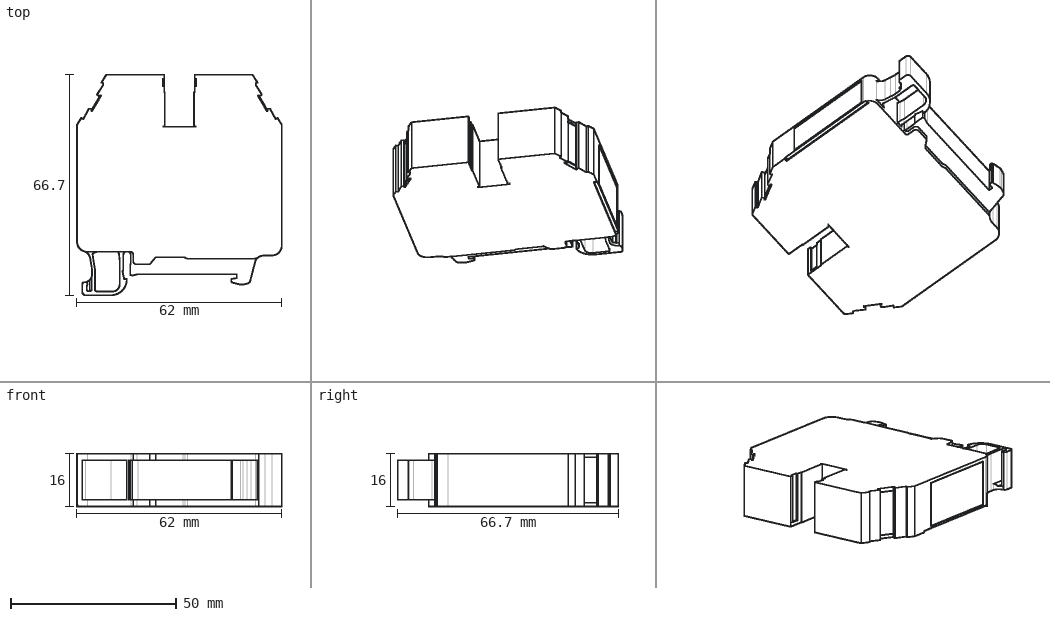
import cadquery as cq
import math

THICKNESS = 16.0
HALF_WIDTH = 31.0
TOP_Y = 53.56
BOTTOM_Y = -13.15
CORNER_RADIUS = 3.1

TONGUE_Y = -3.8
TONGUE_LEFT_X = -14.03
CLEARANCE_Y = -1.55
SEAT_Y = -2.0
RIGHT_UNDERSIDE_Y = -1.13
BLEND_POINT = (24.05, -1.5)

FOOT_INSET = 2.0
FOOT_THICKNESS = THICKNESS - 2 * FOOT_INSET

SLOT_FLOOR_Y = 37.88
SLOT_STEP_Y = 48.3
SLOT_HALF_WIDTH = 4.37
SLOT_MOUTH_HALF_WIDTH = 4.57
SLIT_LENGTH = 0.55
SLIT_HEIGHT = 0.1
WALL_NOTCH_BOTTOM_Y = 50.05
WALL_NOTCH_TOP_Y = 52.4
WALL_NOTCH_DEPTH = 0.55

PANEL_MARGIN = 1.15
PANEL_UPPER = (24.18, 46.98)
PANEL_LOWER = (26.45, 43.1)
PANEL_STEP = 0.3
PANEL_OVERRUN = 0.5

LABEL_BOTTOM_Y = 3.95
LABEL_TOP_Y = 30.1
LABEL_DEPTH = 0.15

EDGE_RELIEF_HEIGHT = 0.45
EDGE_RELIEF_DEPTH = 1.0
EDGE_RELIEF_BOTTOM_Y = 1.9
EDGE_RELIEF_TOP_Y = 33.8

LEG_OUTER_X = -26.49
LEG_INNER_X = -25.53
NOSE_LEG_INNER_X = -18.12
NOSE_LEG_OUTER_X = -16.95
FOOT_FLOOR_Y = -11.92
HOOK_BACK_X = -29.4
HOOK_INNER_X = -28.1
HOOK_TOP_Y = -9.13

FIXED_FOOT_LEFT_X = -14.95
RAIL_SEAT_Y = -6.76
CLAW_TIP_X = 15.66
CLAW_MOUTH_X = 17.25
CLAW_BOTTOM_Y = -9.93

WEDGE_HEIGHT = 2.0
WEDGE_SHELF_HEIGHT = 1.0
WEDGE_SHELF_X = -27.14
WEDGE_LEG_X = -26.2
WEDGE_HOOK_X = -28.4

FLANK = [
    (22.15, TOP_Y),
    (23.6, 51.2),
    (23.1, 51.0),
    (23.1, 50.5),
    (24.94, 47.55),
    PANEL_UPPER,
    PANEL_LOWER,
    (26.7, 43.3),
    (27.4, 43.3),
    (29.1, 40.2),
    (29.7, 40.5),
    (HALF_WIDTH, 38.4),
]


def arc_middle(center, radius, angle):
    """Point on a circle at the given angle in degrees."""
    turn = math.radians(angle)
    return (center[0] + radius * math.cos(turn), center[1] + radius * math.sin(turn))


def housing():
    """Housing block with serrated flanks and a stepped underside."""
    left_center = (-HALF_WIDTH + CORNER_RADIUS, CORNER_RADIUS)
    right_center = (HALF_WIDTH - CORNER_RADIUS, RIGHT_UNDERSIDE_Y + CORNER_RADIUS)
    outline = cq.Workplane("XY").moveTo(-HALF_WIDTH, left_center[1])
    outline = outline.threePointArc(arc_middle(left_center, CORNER_RADIUS, 225), (left_center[0], 0))
    outline = outline.lineTo(-14.7, 0).threePointArc((-14.23, -0.2), (TONGUE_LEFT_X, -0.7))
    outline = outline.lineTo(TONGUE_LEFT_X, -2.6).threePointArc((-13.75, -3.4), (-12.95, TONGUE_Y))
    outline = outline.lineTo(-9.02, TONGUE_Y).lineTo(-7.13, CLEARANCE_Y)
    outline = outline.lineTo(1.0, CLEARANCE_Y)
    outline = outline.threePointArc((1.35, -1.61), (1.66, -1.77))
    outline = outline.threePointArc((2.0, -1.94), (2.4, SEAT_Y)).lineTo(22.9, SEAT_Y)
    outline = outline.threePointArc((23.55, -1.85), BLEND_POINT)
    outline = outline.threePointArc((24.85, -1.22), (25.8, RIGHT_UNDERSIDE_Y))
    outline = outline.lineTo(right_center[0], RIGHT_UNDERSIDE_Y)
    outline = outline.threePointArc(
        arc_middle(right_center, CORNER_RADIUS, 315), (HALF_WIDTH, right_center[1])
    )
    for x, y in reversed(FLANK):
        outline = outline.lineTo(x, y)
    for x, y in FLANK:
        outline = outline.lineTo(-x, y)
    return outline.close().extrude(THICKNESS)


def block(x_min, x_max, y_min, y_max, z_min, z_max):
    """Axis-aligned box given by its limits."""
    size = (x_max - x_min, y_max - y_min, z_max - z_min)
    return cq.Workplane("XY").box(*size, centered=False).translate((x_min, y_min, z_min))


def central_slot():
    """Slot with a wider mouth, corner slits along its floor and a notch in each wall."""
    slot = block(-SLOT_HALF_WIDTH, SLOT_HALF_WIDTH, SLOT_FLOOR_Y, TOP_Y, 0, THICKNESS)
    mouth = block(
        -SLOT_MOUTH_HALF_WIDTH, SLOT_MOUTH_HALF_WIDTH, SLOT_STEP_Y, TOP_Y, 0, THICKNESS
    )
    slit_end = SLOT_HALF_WIDTH + SLIT_LENGTH
    slits = block(-slit_end, slit_end, SLOT_FLOOR_Y, SLOT_FLOOR_Y + SLIT_HEIGHT, 0, THICKNESS)
    notch_end = SLOT_MOUTH_HALF_WIDTH + WALL_NOTCH_DEPTH
    notches = block(
        -notch_end, notch_end, WALL_NOTCH_BOTTOM_Y, WALL_NOTCH_TOP_Y, PANEL_MARGIN, THICKNESS
    )
    return slot.union(mouth).union(slits).union(notches)


def panel_steps(side):
    """Shallow steps above and below the marker panel of one flank (side is -1 or 1)."""
    run_x = PANEL_LOWER[0] - PANEL_UPPER[0]
    run_y = PANEL_LOWER[1] - PANEL_UPPER[1]
    length = math.hypot(run_x, run_y)
    along = (run_x / length, run_y / length)
    inward = (along[1], -along[0])

    def corner(point, run, depth):
        x = point[0] + run * along[0] + depth * inward[0]
        y = point[1] + run * along[1] + depth * inward[1]
        return (side * x, y)

    outline = [
        corner(PANEL_UPPER, -PANEL_OVERRUN, 0),
        corner(PANEL_LOWER, PANEL_OVERRUN, 0),
        corner(PANEL_LOWER, PANEL_OVERRUN, PANEL_STEP),
        corner(PANEL_UPPER, -PANEL_OVERRUN, PANEL_STEP),
    ]
    lower = cq.Workplane("XY").polyline(outline).close().extrude(PANEL_MARGIN)
    return lower.union(lower.translate((0, 0, THICKNESS - PANEL_MARGIN)))


def label_recess():
    """Shallow rectangular label recess in the left side."""
    return block(
        -HALF_WIDTH, -HALF_WIDTH + LABEL_DEPTH, LABEL_BOTTOM_Y, LABEL_TOP_Y,
        PANEL_MARGIN, THICKNESS - PANEL_MARGIN,
    )


def edge_relief():
    """Relief with slanted ends along the lower edge of the left side."""
    slant = EDGE_RELIEF_HEIGHT
    outline = [
        (EDGE_RELIEF_BOTTOM_Y, 0),
        (EDGE_RELIEF_TOP_Y, 0),
        (EDGE_RELIEF_TOP_Y - slant, EDGE_RELIEF_HEIGHT),
        (EDGE_RELIEF_BOTTOM_Y + slant, EDGE_RELIEF_HEIGHT),
    ]
    relief = cq.Workplane("YZ").workplane(offset=-HALF_WIDTH).polyline(outline).close()
    return relief.extrude(EDGE_RELIEF_DEPTH)


def foot_plane():
    """Plane of the lower face of the mounting foot."""
    return cq.Workplane("XY").workplane(offset=FOOT_INSET)


def spring_foot():
    """Flexible foot: two legs joined by a floor, with a release hook on the left."""
    outer = foot_plane().moveTo(-29.2, 0.3).threePointArc((-27.75, -0.5), (-27.0, -1.92))
    outer = outer.lineTo(-26.7, -3.95).threePointArc((-26.55, -4.8), (LEG_OUTER_X, -5.7))
    outer = outer.lineTo(LEG_OUTER_X, -11.4)
    outer = outer.threePointArc((-27.3, -11.9), (HOOK_INNER_X, -11.4)).lineTo(HOOK_INNER_X, -10.4)
    outer = outer.threePointArc((-27.8, -9.9), (HOOK_INNER_X, HOOK_TOP_Y)).lineTo(-28.9, HOOK_TOP_Y)
    outer = outer.threePointArc((-29.25, -9.4), (HOOK_BACK_X, -9.8)).lineTo(HOOK_BACK_X, -12.07)
    outer = outer.threePointArc((-29.15, -12.75), (-28.5, BOTTOM_Y)).lineTo(-20.8, BOTTOM_Y)
    outer = outer.threePointArc((-17.35, -11.75), (-15.86, -8.2))
    outer = outer.lineTo(-16.7, -8.12).lineTo(-17.2, -5.9).lineTo(NOSE_LEG_OUTER_X, -5.6)
    outer = outer.lineTo(NOSE_LEG_OUTER_X, -1.0).threePointArc((-16.8, -0.4), (-16.4, 0))
    foot = outer.lineTo(-16.4, 0.3).close().extrude(FOOT_THICKNESS)

    inner = foot_plane().moveTo(-18.6, 0).threePointArc((-18.4, -0.3), (-18.3, -0.8))
    inner = inner.lineTo(NOSE_LEG_INNER_X, -2.4).lineTo(NOSE_LEG_INNER_X, -9.8)
    inner = inner.threePointArc((-18.7, -11.3), (-20.2, FOOT_FLOOR_Y)).lineTo(-25.0, FOOT_FLOOR_Y)
    inner = inner.threePointArc((-25.37, -11.77), (LEG_INNER_X, -11.4)).lineTo(LEG_INNER_X, -5.2)
    inner = inner.threePointArc((-25.93, -2.8), (-26.25, -0.6))
    inner = inner.threePointArc((-25.8, -0.3), (-24.9, 0))
    return foot.cut(inner.close().extrude(FOOT_THICKNESS))


def hook_wedge():
    """Wedge in the hook gap, sloping down from the spring leg to a flat shelf at the hook."""
    profile = foot_plane().moveTo(WEDGE_HOOK_X, HOOK_TOP_Y)
    profile = profile.threePointArc((WEDGE_SHELF_X, -8.5), (LEG_OUTER_X, -7.1))
    profile = profile.lineTo(WEDGE_LEG_X, FOOT_FLOOR_Y).lineTo(WEDGE_HOOK_X, FOOT_FLOOR_Y)
    wedge = profile.close().extrude(WEDGE_HEIGHT)
    top = FOOT_INSET + WEDGE_HEIGHT
    shelf = FOOT_INSET + WEDGE_SHELF_HEIGHT
    slope_outline = [(LEG_OUTER_X, top), (WEDGE_SHELF_X, shelf), (WEDGE_HOOK_X, shelf), (WEDGE_HOOK_X, top)]
    slope = cq.Workplane("XZ").polyline(slope_outline).close().extrude(-BOTTOM_Y)
    return wedge.cut(slope)


def fixed_foot():
    """Rigid foot: rail seat with a stop on the left and a claw on the right."""
    outline = foot_plane().moveTo(-15.3, 0).threePointArc((-14.95, -0.25), (-14.8, -0.7))
    outline = outline.lineTo(-14.8, -3.7).lineTo(FIXED_FOOT_LEFT_X, TONGUE_Y)
    outline = outline.lineTo(FIXED_FOOT_LEFT_X, -7.0).lineTo(-14.2, -7.2).lineTo(-12.6, RAIL_SEAT_Y)
    outline = outline.lineTo(CLAW_MOUTH_X, RAIL_SEAT_Y).lineTo(CLAW_MOUTH_X, -7.9)
    outline = outline.lineTo(15.9, -8.1).threePointArc((CLAW_TIP_X, -8.4), (CLAW_TIP_X, -9.0))
    outline = outline.lineTo(16.0, -9.3).lineTo(18.4, CLAW_BOTTOM_Y).lineTo(19.2, CLAW_BOTTOM_Y)
    outline = outline.lineTo(20.3, -9.65).threePointArc((21.2, -9.2), (21.5, -8.5))
    outline = outline.lineTo(22.95, -2.9).threePointArc((23.35, -2.05), BLEND_POINT)
    outline = outline.lineTo(BLEND_POINT[0], 0)
    return outline.close().extrude(FOOT_THICKNESS)


body = housing().cut(central_slot())
for flank_side in (-1, 1):
    body = body.cut(panel_steps(flank_side))
body = body.cut(label_recess()).cut(edge_relief())
result = body.union(spring_foot()).union(hook_wedge()).union(fixed_foot())